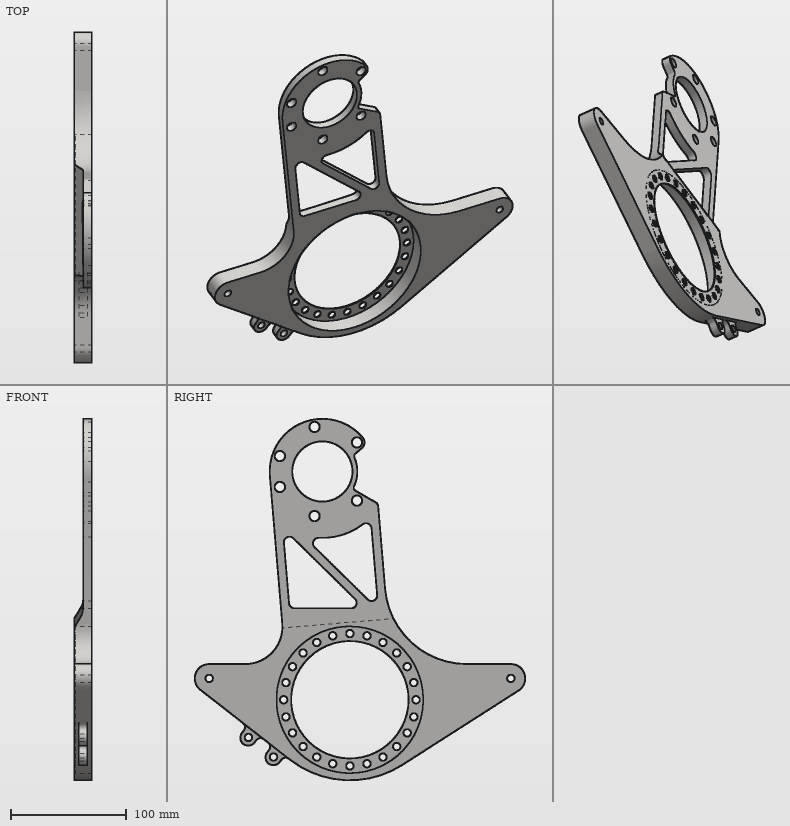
import cadquery as cq
import math


plate_thickness = 15.3
arm_thickness = plate_thickness / 2
total_height = 313.0

bore_diameter = 101.5
recess_diameter = 127.0
bore_lip_thickness = 1.0
ring_hole_count = 24
ring_hole_circle_radius = 57.3
small_hole_diameter = 6.3

belly_radius = 84.0
belly_drop = 69.8
belly_center = (0.0, belly_radius - belly_drop)
ear_radius = 12.5
ear_height = 18.5
left_ear = (139.2, ear_height)
right_ear = (-121.7, ear_height)

head_radius = 45.7
head_center = (-23.8, total_height - belly_drop - head_radius)
head_bore_diameter = 52.0
head_hole_diameter = 8.8
head_hole_circle_radius = 39.0
hook_angle = 40.0
head_hole_angles = [sign * angle for sign in (1, -1) for angle in (hook_angle, 100.0, 160.0)]

hook_radius = head_radius - head_hole_circle_radius
cutaway_radius = 30.5
cutaway_fillet = 2.8
shoulder_angle = -30.0
shoulder_corner_radius = 5.0

arm_lean = 4.8
left_root_radius = 70.7
right_root_radius = 32.0

ramp_foot_distance = 131.7
ramp_angle = 31.0
ramp_fillet = 12.2

rib_width = 7.5
window_arc_radius = 57.5
window_corner_radius = 4.7
window_floor = 79.0
strut_angle = 135.5
strut_point = (head_center[0], 120.0)

tab_radius = 7.0
tab_thickness = 7.5
tab_flare_radius = 4.7
tab_hole_offset = 7.0
tab_end_offset = 7.2
first_tab_distance = 58.2
tab_spacing = 27.5

touch_tolerance = 0.003


def polar(center, radius, angle):
    """Point at a radius and angle from a center."""
    a = math.radians(angle)
    return (center[0] + radius * math.cos(a), center[1] + radius * math.sin(a))


def sin_deg(angle):
    return math.sin(math.radians(angle))


def cos_deg(angle):
    return math.cos(math.radians(angle))


def arc_loop(arcs):
    """Closed outline of (center, radius, start angle, end angle) arcs.

    A straight line joins two arcs wherever they do not already touch.
    """
    first_center, first_radius, first_angle, _ = arcs[0]
    reached = polar(first_center, first_radius, first_angle)
    path = cq.Workplane("YZ").moveTo(*reached)
    for center, radius, start_angle, end_angle in arcs:
        start = polar(center, radius, start_angle)
        middle = polar(center, radius, (start_angle + end_angle) / 2)
        if math.dist(reached, start) > touch_tolerance:
            path = path.lineTo(*start)
        reached = polar(center, radius, end_angle)
        path = path.threePointArc(middle, reached)
    return path.close()


def holes(points, diameter):
    """Cutter for round holes through the whole plate."""
    return cq.Workplane("YZ").pushPoints(points).circle(diameter / 2).extrude(plate_thickness)


def belly_tangent_angle(ear, side):
    """Direction from the ear center to where the line tangent to the ear and the belly touches."""
    dy = ear[0] - belly_center[0]
    dz = ear[1] - belly_center[1]
    spread = math.degrees(math.acos((belly_radius - ear_radius) / math.hypot(dy, dz)))
    return math.degrees(math.atan2(dz, dy)) % 360 - side * spread


left_tangent = belly_tangent_angle(left_ear, 1)
right_tangent = belly_tangent_angle(right_ear, -1)


def root_center(radius, side):
    """Center of the fillet between the top of an ear and the side of the arm (side +1 is +Y)."""
    z = ear_height + ear_radius + radius
    offset = side * (head_radius + radius)
    y = head_center[0] + (offset - (z - head_center[1]) * sin_deg(arm_lean)) / cos_deg(arm_lean)
    return (y, z)


def plate_outline():
    hook_center = polar(head_center, head_hole_circle_radius, hook_angle)
    hook_side = hook_angle - 90

    fillet_orbit = cutaway_radius + cutaway_fillet
    hook_swing = math.degrees(math.asin((hook_radius + cutaway_fillet) / fillet_orbit))
    upper_angle = hook_angle - hook_swing
    shoulder_swing = math.degrees(math.asin(cutaway_fillet / fillet_orbit))
    lower_angle = shoulder_angle + shoulder_swing
    upper_fillet = polar(head_center, fillet_orbit, upper_angle)
    lower_fillet = polar(head_center, fillet_orbit, lower_angle)

    shoulder_normal = shoulder_angle + 90
    r = shoulder_corner_radius
    reach = head_radius - r + r * cos_deg(shoulder_normal - arm_lean)
    reach = reach / cos_deg(shoulder_angle - arm_lean)
    corner_center = polar(polar(head_center, reach, shoulder_angle), -r, shoulder_normal)

    return arc_loop([
        (right_ear, ear_radius, right_tangent, 90),
        (root_center(right_root_radius, -1), right_root_radius, -90, arm_lean),
        (head_center, head_radius, 180 + arm_lean, hook_angle),
        (hook_center, hook_radius, hook_angle, hook_side),
        (upper_fillet, cutaway_fillet, hook_angle + 90, upper_angle + 180),
        (head_center, cutaway_radius, upper_angle, lower_angle),
        (lower_fillet, cutaway_fillet, lower_angle + 180, shoulder_angle + 270),
        (corner_center, r, shoulder_normal, arm_lean),
        (root_center(left_root_radius, 1), left_root_radius, 180 + arm_lean, 270),
        (left_ear, ear_radius, 90, left_tangent),
        (belly_center, belly_radius, left_tangent, right_tangent - 360),
    ])


def arm_relief():
    """Cutter that thins the arm from the -X face, ending in a ramp filleted into the arm."""
    step = plate_thickness - arm_thickness
    fillet_rise = ramp_fillet * (1 - cos_deg(ramp_angle))
    flat_rise = step - fillet_rise
    flat_run = flat_rise / math.tan(math.radians(ramp_angle))
    fillet_run = ramp_fillet * sin_deg(ramp_angle)
    foot = -ramp_foot_distance
    fillet_end = foot + flat_run + fillet_run
    half_angle = ramp_angle / 2
    fillet_middle = (
        step - ramp_fillet * (1 - cos_deg(half_angle)),
        fillet_end - ramp_fillet * sin_deg(half_angle),
    )
    beyond_head = 2 * head_radius
    profile = (
        cq.Workplane("XZ")
        .moveTo(0, foot)
        .lineTo(flat_rise, foot + flat_run)
        .threePointArc(fillet_middle, (step, fillet_end))
        .lineTo(step, beyond_head)
        .lineTo(0, beyond_head)
        .close()
    )
    cutter = profile.extrude(beyond_head, both=True)
    return cutter.rotate((0, 0, 0), (1, 0, 0), arm_lean).translate((0, *head_center))


def bore_recess():
    """Cutter for the round recess in the +X face that leaves only a thin lip around the bore."""
    depth = plate_thickness - bore_lip_thickness
    lip_plane = cq.Workplane("YZ").workplane(offset=bore_lip_thickness)
    return lip_plane.circle(recess_diameter / 2).extrude(depth)


def line_crossing(point_a, angle_a, point_b, angle_b):
    """Crossing of two lines, each given by a point and a direction."""
    dy = point_b[0] - point_a[0]
    dz = point_b[1] - point_a[1]
    distance = (dy * sin_deg(angle_b) - dz * cos_deg(angle_b)) / sin_deg(angle_b - angle_a)
    return polar(point_a, distance, angle_a)


def line_circle_crossing(point, angle, center, radius):
    """Crossing of a line with a circle, the farther one along the line's direction."""
    dy = center[0] - point[0]
    dz = center[1] - point[1]
    along = dy * cos_deg(angle) + dz * sin_deg(angle)
    across = dz * cos_deg(angle) - dy * sin_deg(angle)
    return polar(point, along + math.sqrt(radius**2 - across**2), angle)


def windows():
    """Cutter for the two windows, parted by the slanted strut."""
    arm_down = arm_lean - 90
    inner_half_width = head_radius - rib_width
    left_side = polar(head_center, inner_half_width, arm_lean)
    right_side = polar(head_center, -inner_half_width, arm_lean)
    strut_upper = polar(strut_point, rib_width / 2, strut_angle - 90)
    strut_lower = polar(strut_point, -rib_width / 2, strut_angle - 90)
    strut_down = strut_angle - 180

    arc_left = line_circle_crossing(left_side, arm_down, head_center, window_arc_radius)
    arc_right = line_circle_crossing(strut_upper, strut_down, head_center, window_arc_radius)
    upper_window = (
        cq.Workplane("YZ")
        .moveTo(*arc_left)
        .threePointArc(polar(head_center, window_arc_radius, arm_down), arc_right)
        .lineTo(*line_crossing(left_side, arm_down, strut_upper, strut_down))
        .close()
        .extrude(plate_thickness)
    )

    floor_point = (0, window_floor)
    lower_window = (
        cq.Workplane("YZ")
        .polyline([
            line_crossing(right_side, arm_down, strut_lower, strut_down),
            line_crossing(right_side, arm_down, floor_point, 0),
            line_crossing(strut_lower, strut_down, floor_point, 0),
        ])
        .close()
        .extrude(plate_thickness)
    )
    return [window.edges("|X").fillet(window_corner_radius) for window in (upper_window, lower_window)]


def edge_frame_point(distance, offset):
    """Point at a distance from the ear along the lower right edge and an offset out from it."""
    edge_start = polar(right_ear, ear_radius, right_tangent)
    edge_point = polar(edge_start, distance, right_tangent + 90)
    return polar(edge_point, offset, right_tangent)


def tab(distance):
    """Round-ended tab in the middle of the plate thickness, flared where it meets the edge."""
    outward = right_tangent
    flare_reach = tab_radius + tab_flare_radius
    end_center = edge_frame_point(distance, tab_end_offset)
    near_flare = edge_frame_point(distance - flare_reach, tab_flare_radius)
    far_flare = edge_frame_point(distance + flare_reach, tab_flare_radius)
    outline = arc_loop([
        (far_flare, tab_flare_radius, outward + 180, outward + 270),
        (end_center, tab_radius, outward + 90, outward - 90),
        (near_flare, tab_flare_radius, outward + 90, outward + 180),
    ])
    return outline.extrude(tab_thickness).translate(((plate_thickness - tab_thickness) / 2, 0, 0))


tab_distances = [first_tab_distance, first_tab_distance + tab_spacing]
tab_holes = [edge_frame_point(distance, tab_hole_offset) for distance in tab_distances]
ring_hole_angles = [index * 360 / ring_hole_count for index in range(ring_hole_count)]
ring_holes = [polar((0, 0), ring_hole_circle_radius, angle) for angle in ring_hole_angles]
head_holes = [polar(head_center, head_hole_circle_radius, angle) for angle in head_hole_angles]

result = plate_outline().extrude(plate_thickness).cut(arm_relief())
for window in windows():
    result = result.cut(window)
for distance in tab_distances:
    result = result.union(tab(distance))
result = result.cut(holes([(0, 0)], bore_diameter)).cut(bore_recess())
result = result.cut(holes([head_center], head_bore_diameter))
result = result.cut(holes(head_holes, head_hole_diameter))
result = result.cut(holes(ring_holes + [left_ear, right_ear] + tab_holes, small_hole_diameter))